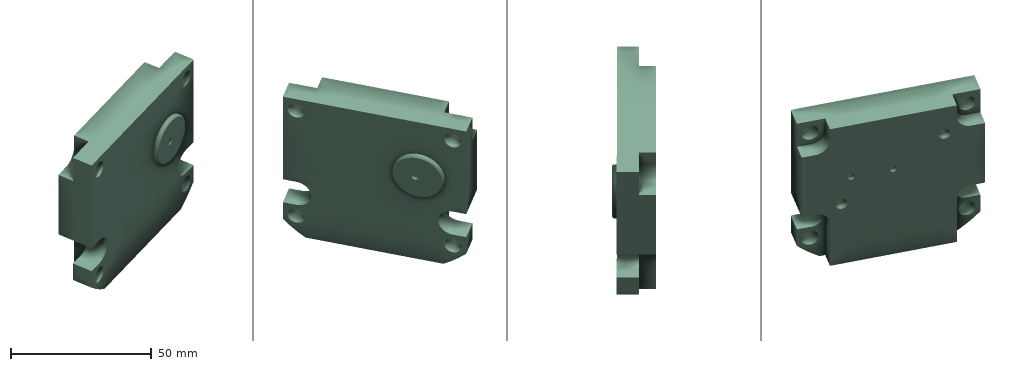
import cadquery as cq
import math

width = 68.0
height = 64.5
axis_from_top = 24.4
plate_thickness = 14.0
total_thickness = 15.8
top_z = axis_from_top
bottom_z = top_z - height

recess_depth = 6.1
recess_width = 10.5
recess_height = 10.9
corner_radius = recess_height / 2
slot_from_top = 44.5
bottom_corner_radius = 47.6

mount_diameter = 6.3
mount_edge_y = 4.95
mount_edge_z = 5.45
mount_pitch_z = 49.65

boss_diameter = 19.2
boss_y = 16.5
boss_chamfer = 0.55

pin_diameter = 2.6
through_pin_y = 15.6
blind_depth = 8.15
drill_point_angle = 118.0
tapped_y = 19.1
tapped_z = 12.0
tapped_diameter = 3.7
countersink_diameter = 4.5


def box(x0, x1, y0, y1, z0, z1):
    """Box spanning the given limits along each axis."""
    return cq.Workplane("XY").box(x1 - x0, y1 - y0, z1 - z0, centered=False).translate((x0, y0, z0))


def rod(y, z, diameter, x0, x1):
    """Cylinder along X from x0 to x1."""
    return cq.Workplane("YZ", origin=(x0, y, z)).circle(diameter / 2).extrude(x1 - x0)


def blind_hole(y, z, diameter, sink_diameter):
    """Drilled hole with a conical bottom and a 90 degree countersink (none if the diameters match)."""
    radius = diameter / 2
    sink_radius = sink_diameter / 2
    point_length = radius / math.tan(math.radians(drill_point_angle / 2))
    profile = cq.Workplane("XY").moveTo(0, 0).lineTo(0, sink_radius)
    if sink_radius > radius:
        profile = profile.lineTo(sink_radius - radius, radius)
    profile = profile.lineTo(blind_depth, radius).lineTo(blind_depth + point_length, 0).close()
    return profile.revolve(360, (0, 0, 0), (1, 0, 0)).translate((0, y, z))


plate = box(0, plate_thickness, -width / 2, width / 2, bottom_z, top_z)
plate = plate.intersect(rod(0, 0, 2 * bottom_corner_radius, 0, plate_thickness))

slot_z = top_z - slot_from_top
inner_y = width / 2 - recess_width
for side in (-1, 1):
    y_low, y_high = sorted((side * inner_y, side * width / 2))

    rounded_edge = "|X and <Z and " + ("<Y" if side > 0 else ">Y")
    upper_recess = box(0, recess_depth, y_low, y_high, top_z - recess_height, top_z)
    upper_recess = upper_recess.edges(rounded_edge).fillet(corner_radius)

    lower_recess = box(0, recess_depth, y_low, y_high, bottom_z, slot_z)

    slot_center_y = side * (inner_y + corner_radius)
    slot_low, slot_high = sorted((slot_center_y, side * width / 2))
    slot = box(0, plate_thickness, slot_low, slot_high, slot_z - corner_radius, slot_z + corner_radius)
    slot = slot.union(rod(slot_center_y, slot_z, 2 * corner_radius, 0, plate_thickness))

    plate = plate.cut(upper_recess).cut(lower_recess).cut(slot)

    for drop in (mount_edge_z, mount_edge_z + mount_pitch_z):
        hole = rod(side * (width / 2 - mount_edge_y), top_z - drop, mount_diameter, 0, plate_thickness)
        plate = plate.cut(hole)

boss = rod(boss_y, 0, boss_diameter, plate_thickness, total_thickness)
boss = boss.faces(">X").chamfer(boss_chamfer)
plate = plate.union(boss)

plate = plate.cut(rod(through_pin_y, 0, pin_diameter, 0, total_thickness))
plate = plate.cut(blind_hole(0, 0, pin_diameter, pin_diameter))
for side in (-1, 1):
    plate = plate.cut(blind_hole(side * tapped_y, -side * tapped_z, tapped_diameter, countersink_diameter))

result = plate